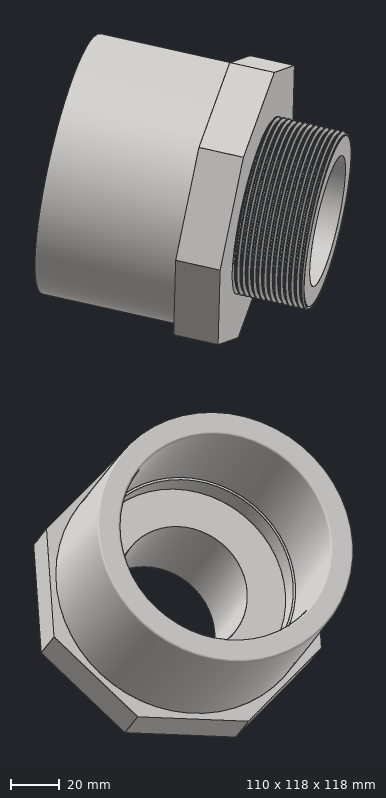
import cadquery as cq
import math

overall_length = 110.0
thread_length = 30.4
nut_width = 19.0
nut_end = overall_length - thread_length
nut_start = nut_end - nut_width

socket_diameter = 110.0
socket_bore_diameter = 90.0
socket_depth = 51.0
relief_diameter = 88.0
relief_end = 62.2
rim_fillet = 1.0

nut_across_flats = 115.0
nut_sides = 8
nut_turn = 3.89

crest_diameter = 75.18
root_diameter = 72.17
wall = 10.0
through_diameter = crest_diameter - 2 * wall

pitch = 2.309
ridge_base_width = 1.95
ridge_crest_width = 0.4
first_crest = 0.8
spare_turns = 2


def cylinder(start, end, diameter):
    """Solid cylinder along X between two stations."""
    return cq.Workplane("YZ", origin=(start, 0, 0)).circle(diameter / 2).extrude(end - start)


def make_nut():
    """Octagonal prism, turned slightly about X."""
    across_corners = nut_across_flats / math.cos(math.pi / nut_sides)
    prism = (
        cq.Workplane("YZ", origin=(nut_start, 0, 0))
        .polygon(nut_sides, across_corners)
        .extrude(nut_width)
    )
    return prism.rotate((0, 0, 0), (1, 0, 0), 180 / nut_sides - nut_turn)


def make_fitting():
    """Socket, nut and plain spigot as one body with a stepped bore."""
    socket = cylinder(0, nut_start, socket_diameter)
    spigot = cylinder(nut_end, overall_length, root_diameter)
    solid = socket.union(make_nut()).union(spigot)
    bored = (
        solid.cut(cylinder(0, socket_depth, socket_bore_diameter))
        .cut(cylinder(socket_depth, relief_end, relief_diameter))
        .cut(cylinder(relief_end, overall_length, through_diameter))
    )
    return bored.faces("<X").edges().fillet(rim_fillet)


def helix(radius, start, length):
    """Right-hand helix about X, starting on the +Y side."""
    wire = cq.Wire.makeHelix(pitch, length, radius)
    wire = wire.rotate(cq.Vector(0, 0, 0), cq.Vector(1, 1, 1), 120)
    return wire.translate(cq.Vector(start, 0, 0))


def make_thread():
    """Helical ridge wound on the spigot and trimmed flush at both ends."""
    crest_start = nut_end + first_crest - spare_turns * pitch
    length = pitch * (math.ceil(thread_length / pitch) + 2 * spare_turns)
    corners = [
        (root_diameter / 2, -ridge_base_width / 2),
        (crest_diameter / 2, -ridge_crest_width / 2),
        (crest_diameter / 2, ridge_crest_width / 2),
        (root_diameter / 2, ridge_base_width / 2),
    ]
    edges = [helix(radius, crest_start + offset, length) for radius, offset in corners]
    sides = [cq.Face.makeRuledSurface(edges[i - 1], edges[i]) for i in range(len(edges))]
    ends = []
    for station in (crest_start, crest_start + length):
        points = [cq.Vector(station + offset, radius, 0) for radius, offset in corners]
        ends.append(cq.Face.makeFromWires(cq.Wire.makePolygon(points, close=True)))
    side_faces = [face for side in sides for face in side.Faces()]
    ridge = cq.Solid.makeSolid(cq.Shell.makeShell(side_faces + ends))
    thread_envelope = cylinder(nut_end, overall_length, crest_diameter + pitch)
    return cq.Workplane(obj=ridge).intersect(thread_envelope)


fitting = make_fitting()
thread = make_thread()
result = cq.Compound.makeCompound([fitting.val(), *thread.solids().vals()])